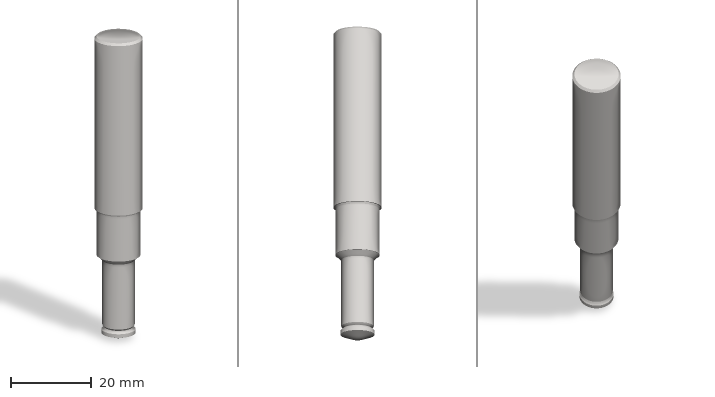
import cadquery as cq

TOTAL_LENGTH = 79.0
SHANK_DIAMETER = 12.0
COLLAR_DIAMETER = 11.0
STEM_DIAMETER = 8.05
HEAD_DIAMETER = 8.45
NECK_DIAMETER = 6.95

SHANK_LENGTH = 45.0
SHANK_CHAMFER = 0.55

COLLAR_LENGTH = 12.25
FLARE_HEIGHT = 0.5
FLARE_WIDTH = 0.15
COLLAR_LEDGE = 0.15

HEAD_LENGTH = 2.85
SHOULDER_TOP = 2.7
SHOULDER_CHAMFER = 0.5
TIP_CONE_TOP = 1.3
DOME_DIAMETER = 4.75
DOME_HEIGHT = 0.55

SHANK_BOTTOM = TOTAL_LENGTH - SHANK_LENGTH
STEM_BOTTOM = HEAD_LENGTH

SHANK_RADIUS = SHANK_DIAMETER / 2
COLLAR_RADIUS = COLLAR_DIAMETER / 2
STEM_RADIUS = STEM_DIAMETER / 2
HEAD_RADIUS = HEAD_DIAMETER / 2
NECK_RADIUS = NECK_DIAMETER / 2
DOME_RADIUS = DOME_DIAMETER / 2


def revolve_about_z(half_profile):
    """Revolve a closed (radius, height) outline a full turn about Z."""
    return half_profile.close().revolve(360, (0, 0, 0), (0, 1, 0))


def make_shank():
    """Plain cylinder, chamfered at its top rim."""
    shank = cq.Workplane("XY").workplane(offset=SHANK_BOTTOM).circle(SHANK_RADIUS).extrude(SHANK_LENGTH)
    return shank.faces(">Z").chamfer(SHANK_CHAMFER)


def make_stem():
    """Collar, flared at its top and tapered at 45 degrees to a rod with a chamfered lower end."""
    collar_bottom = SHANK_BOTTOM - COLLAR_LENGTH
    cone_top_radius = COLLAR_RADIUS - COLLAR_LEDGE
    cone_height = cone_top_radius - STEM_RADIUS
    end_chamfer = STEM_RADIUS - NECK_RADIUS
    return revolve_about_z(
        cq.Workplane("XZ")
        .moveTo(0, STEM_BOTTOM)
        .lineTo(NECK_RADIUS, STEM_BOTTOM)
        .lineTo(STEM_RADIUS, STEM_BOTTOM + end_chamfer)
        .lineTo(STEM_RADIUS, collar_bottom - cone_height)
        .lineTo(cone_top_radius, collar_bottom)
        .lineTo(COLLAR_RADIUS, collar_bottom)
        .lineTo(COLLAR_RADIUS, SHANK_BOTTOM - FLARE_HEIGHT)
        .lineTo(COLLAR_RADIUS + FLARE_WIDTH, SHANK_BOTTOM)
        .lineTo(0, SHANK_BOTTOM)
    )


def make_head():
    """Disc with a chamfered shoulder that rises to the neck; the underside is a cone ending in a dome."""
    sphere_radius = (DOME_RADIUS**2 + DOME_HEIGHT**2) / (2 * DOME_HEIGHT)
    mid_radius = DOME_RADIUS / 2
    mid_height = sphere_radius - (sphere_radius**2 - mid_radius**2) ** 0.5
    return revolve_about_z(
        cq.Workplane("XZ")
        .moveTo(0, 0)
        .threePointArc((mid_radius, mid_height), (DOME_RADIUS, DOME_HEIGHT))
        .lineTo(HEAD_RADIUS, TIP_CONE_TOP)
        .lineTo(HEAD_RADIUS, SHOULDER_TOP - SHOULDER_CHAMFER)
        .lineTo(HEAD_RADIUS - SHOULDER_CHAMFER, SHOULDER_TOP)
        .lineTo(NECK_RADIUS, HEAD_LENGTH)
        .lineTo(0, HEAD_LENGTH)
    )


shank = make_shank()
stem = make_stem()
head = make_head()

result = cq.Compound.makeCompound([shank.val(), stem.val(), head.val()])